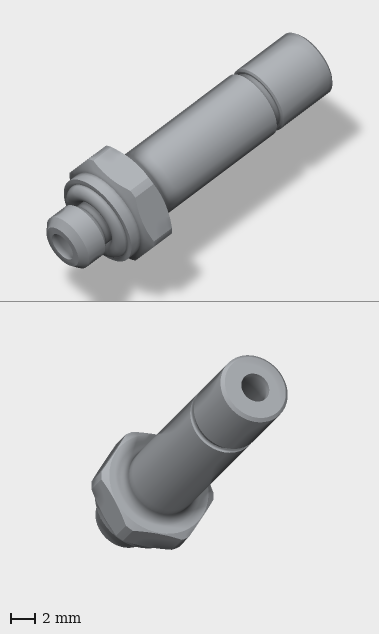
import cadquery as cq
import math

overall_length = 28.0
bore_diameter = 2.5

spigot_radius = 5.0 / 2
spigot_tip_chamfer = 0.62
neck_radius = 3.9 / 2
spigot_back = 2.45
neck_taper_end = spigot_back + spigot_radius - neck_radius

ring_front = 3.3
ring_radius = 3.5
ring_crown_radius = (ring_radius + neck_radius) / 2

flange_front = 3.98
flange_radius = 8.0 / 2
flange_back = 5.0

hex_across_flats = 9.0
hex_corner_radius = 10.0 / 2
hex_back = 7.98
hex_chamfer_slope = math.tan(math.radians(30))
hex_back_face_radius = 4.42
hex_front_chamfer_length = (hex_corner_radius - flange_radius) * hex_chamfer_slope
hex_back_chamfer_length = (hex_corner_radius - hex_back_face_radius) * hex_chamfer_slope

tube_radius = 3.0
tube_fillet = 0.65
groove_radius = 5.2 / 2
groove_front = 21.45
groove_back = 22.12
groove_chamfer_width = 0.2
groove_chamfer_length = 0.1
end_chamfer_width = 0.28
end_chamfer_length = 0.25


def revolve_about_y(profile):
    return profile.close().revolve(360, (0, 0, 0), (0, 1, 0))


def make_front_end():
    """Spigot, neck, sealing ring and flange, up to the hexagon."""
    return revolve_about_y(
        cq.Workplane("XY")
        .moveTo(0, 0)
        .lineTo(spigot_radius - spigot_tip_chamfer, 0)
        .lineTo(spigot_radius, spigot_tip_chamfer)
        .lineTo(spigot_radius, spigot_back)
        .lineTo(neck_radius, neck_taper_end)
        .lineTo(neck_radius, flange_front)
        .threePointArc((ring_crown_radius, ring_front), (ring_radius, flange_front))
        .lineTo(flange_radius, flange_front)
        .lineTo(flange_radius, flange_back)
        .lineTo(0, flange_back)
    )


def make_hexagon():
    """Hexagonal prism trimmed by a cylinder with a cone at each end."""
    across_corners = hex_across_flats / math.cos(math.radians(30))
    prism = (
        cq.Workplane("XZ", origin=(0, flange_back, 0))
        .polygon(6, across_corners)
        .extrude(flange_back - hex_back)
    )
    envelope = revolve_about_y(
        cq.Workplane("XY")
        .moveTo(0, flange_back)
        .lineTo(flange_radius, flange_back)
        .lineTo(hex_corner_radius, flange_back + hex_front_chamfer_length)
        .lineTo(hex_corner_radius, hex_back - hex_back_chamfer_length)
        .lineTo(hex_back_face_radius, hex_back)
        .lineTo(0, hex_back)
    )
    return prism.intersect(envelope)


def make_tube():
    """Tube with a concave fillet at the hexagon, a groove and an end chamfer."""
    fillet_outer_radius = tube_radius + tube_fillet
    arc_offset = tube_fillet * (1 - math.sqrt(0.5))
    return revolve_about_y(
        cq.Workplane("XY")
        .moveTo(0, hex_back)
        .lineTo(fillet_outer_radius, hex_back)
        .threePointArc(
            (tube_radius + arc_offset, hex_back + arc_offset),
            (tube_radius, hex_back + tube_fillet),
        )
        .lineTo(tube_radius, groove_front)
        .lineTo(groove_radius, groove_front)
        .lineTo(groove_radius, groove_back)
        .lineTo(tube_radius - groove_chamfer_width, groove_back)
        .lineTo(tube_radius, groove_back + groove_chamfer_length)
        .lineTo(tube_radius, overall_length - end_chamfer_length)
        .lineTo(tube_radius - end_chamfer_width, overall_length)
        .lineTo(0, overall_length)
    )


bore = cq.Workplane("XZ").circle(bore_diameter / 2).extrude(-overall_length)

result = make_front_end().union(make_hexagon()).union(make_tube()).cut(bore)